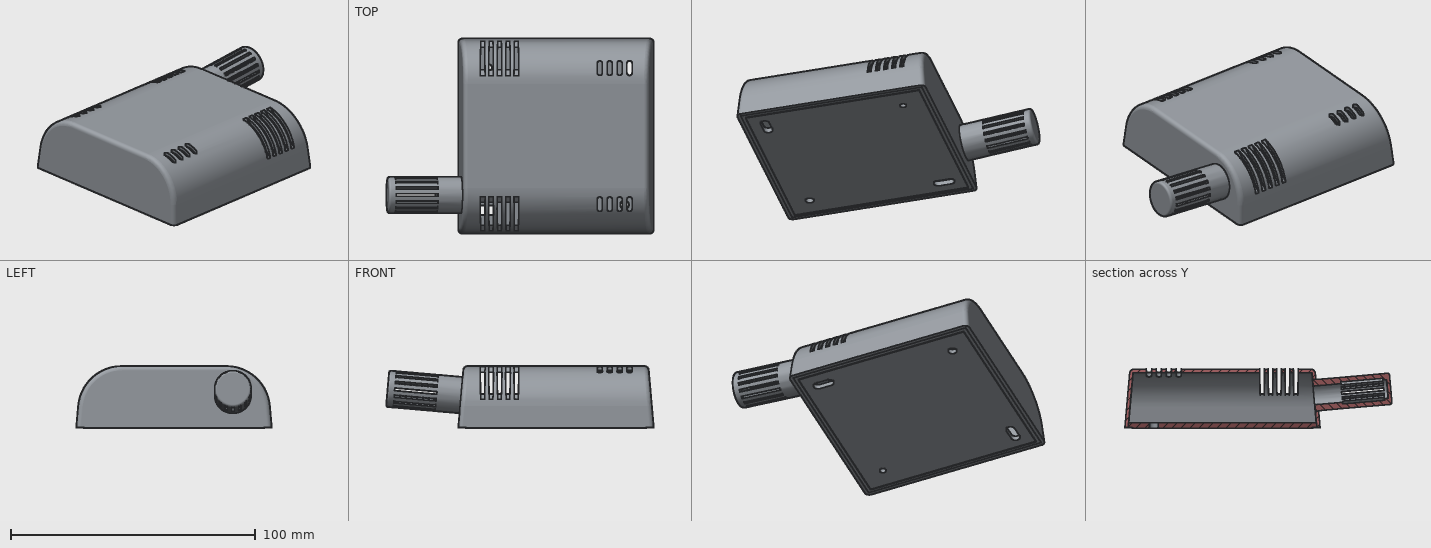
import cadquery as cq
import math

overall_length = 109.4
housing_width = 80.0
overall_height = 25.5
base_protrusion = 0.3

draft = math.radians(5)
shoulder_radius = 18.0
end_edge_radius = 2.0
wall = 1.5

saw_slot_count = 5
saw_slot_row_length = 13.8
saw_slot_row_x = -23.1
saw_slot_bottom_width = 1.5
saw_slot_top_width = 2.0
saw_slot_upper_angle = math.radians(11)
saw_slot_lower_angle = math.radians(76)

short_slot_count = 4
short_slot_pitch = 4.0
short_slot_row_x = 24.0
short_slot_y = 27.8
short_slot_length = 5.9
short_slot_width = 2.1

cap_diameter = 15.0
cap_bore = 10.5
cap_edge_radius = 1.0
cap_end_thickness = 1.5
cap_y = -24.1
cap_z = 13.6
cap_slot_count = 16
cap_slot_width = 1.0
cap_slot_start = 10.0
cap_slot_length = 17.2

base_thickness = 2.0
pad_width = 73.7
large_hole_diameter = 3.5
large_hole_x = 28.0
small_hole_diameter = 2.6
small_hole_x = -27.6
mount_hole_offset = 28.0
mount_slot_length = 8.8
mount_slot_width = 3.7
mount_slot_along = 28.4
mount_slot_across = 30.3

half_width = housing_width / 2
rim_z = base_protrusion
shoulder_z = overall_height - shoulder_radius
shoulder_y = (
    half_width
    - shoulder_radius * math.cos(draft)
    - (shoulder_z + shoulder_radius * math.sin(draft) - rim_z) * math.tan(draft)
)
cap_wall_x = -half_width + (cap_z - rim_z) * math.tan(draft)
cap_reach = (
    cap_wall_x
    + overall_length
    - half_width
    - (cap_diameter / 2 - cap_edge_radius) * math.sin(draft)
    - cap_edge_radius
)
cap_length = cap_reach / math.cos(draft) + cap_edge_radius


def shoulder_point(radius, angle):
    """Point (y, z) on the +Y shoulder arc, the angle being measured from vertical."""
    return shoulder_y + radius * math.sin(angle), shoulder_z + radius * math.cos(angle)


def drafted_block(inset):
    """The housing outline without its rounded end edges, moved inwards by the inset on all walls."""
    radius = shoulder_radius - inset
    rim_half = half_width - inset / math.cos(draft)
    roof_z = overall_height - inset
    roof_half = rim_half - (roof_z - rim_z) * math.tan(draft)
    side_angle = math.pi / 2 - draft
    side_y, side_z = shoulder_point(radius, side_angle)
    mid_y, mid_z = shoulder_point(radius, side_angle / 2)
    cross_section = (
        cq.Workplane("YZ")
        .moveTo(-rim_half, rim_z)
        .lineTo(-side_y, side_z)
        .threePointArc((-mid_y, mid_z), (-shoulder_y, roof_z))
        .lineTo(shoulder_y, roof_z)
        .threePointArc((mid_y, mid_z), (side_y, side_z))
        .lineTo(rim_half, rim_z)
        .close()
        .extrude(half_width, both=True)
    )
    long_section = (
        cq.Workplane("XZ")
        .polyline([(-rim_half, rim_z), (-roof_half, roof_z), (roof_half, roof_z), (rim_half, rim_z)])
        .close()
        .extrude(half_width, both=True)
    )
    return cross_section.intersect(long_section)


def saw_slots():
    """Slots on both shoulders, open outwards from a flat chord plane and wider at the top."""
    upper_y, upper_z = shoulder_point(shoulder_radius, saw_slot_upper_angle)
    lower_y, lower_z = shoulder_point(shoulder_radius, saw_slot_lower_angle)
    beyond_chord = (
        cq.Workplane("YZ")
        .polyline([(upper_y, upper_z), (lower_y, lower_z), (lower_y, upper_z)])
        .close()
        .extrude(half_width, both=True)
    )
    beyond_chord = beyond_chord.union(beyond_chord.mirror("XZ"))
    pitch = saw_slot_row_length / (saw_slot_count - 1)
    blades = cq.Workplane("XZ")
    for i in range(saw_slot_count):
        x = saw_slot_row_x - saw_slot_row_length / 2 + i * pitch
        blades = blades.polyline([
            (x - saw_slot_bottom_width / 2, lower_z),
            (x - saw_slot_top_width / 2, upper_z),
            (x + saw_slot_top_width / 2, upper_z),
            (x + saw_slot_bottom_width / 2, lower_z),
        ]).close()
    return blades.extrude(half_width, both=True).intersect(beyond_chord)


def short_slots():
    """Round-ended slots on both shoulders."""
    first_x = short_slot_row_x - (short_slot_count - 1) * short_slot_pitch / 2
    centres = [
        (first_x + i * short_slot_pitch, side * short_slot_y)
        for i in range(short_slot_count)
        for side in (-1, 1)
    ]
    return (
        cq.Workplane("XY", origin=(0, 0, shoulder_z))
        .pushPoints(centres)
        .slot2D(short_slot_length, short_slot_width, 90)
        .extrude(shoulder_radius)
    )


def cap_plane(distance):
    """Work plane square to the cap axis, facing outwards, at a distance outside the end wall."""
    axis = cq.Vector(-math.cos(draft), 0, math.sin(draft))
    origin = cq.Vector(cap_wall_x, cap_y, cap_z) + axis * distance
    return cq.Workplane(cq.Plane(origin=origin, xDir=(0, 1, 0), normal=axis))


def make_housing():
    """Hollow shell, open below, with vents and a hole in the end wall for the cap."""
    shell = drafted_block(0).faces("<X or >X").edges("not <Z").fillet(end_edge_radius)
    cap_hole = cap_plane(-wall).circle(cap_diameter / 2).extrude(2 * wall)
    return (
        shell.cut(drafted_block(wall))
        .cut(saw_slots())
        .cut(short_slots())
        .cut(cap_hole)
    )


def make_cap():
    """Tilted tube seated in the end wall, closed at its tip and slotted all round."""
    cap = (
        cap_plane(-wall)
        .circle(cap_diameter / 2)
        .extrude(cap_length + wall)
        .faces("<X")
        .edges()
        .fillet(cap_edge_radius)
    )
    bore = (
        cap_plane(-wall)
        .circle(cap_bore / 2)
        .extrude(cap_length + wall - cap_end_thickness)
    )
    cap = cap.cut(bore)
    for i in range(cap_slot_count // 2):
        opposite_slots = (
            cap_plane(cap_slot_start)
            .transformed(rotate=(0, 0, i * 360 / cap_slot_count))
            .rect(2 * cap_diameter, cap_slot_width)
            .extrude(cap_slot_length)
        )
        cap = cap.cut(opposite_slots)
    return cap


def make_base():
    """Plate filling the mouth of the housing, with a pad below and mounting holes right through."""
    height = base_protrusion + base_thickness
    mouth = cq.Workplane("XY").box(housing_width, housing_width, height, centered=(True, True, False))
    plate = drafted_block(wall).intersect(mouth)
    pad = cq.Workplane("XY").rect(pad_width, pad_width).extrude(base_protrusion)
    large_hole = (
        cq.Workplane("XY")
        .center(large_hole_x, -mount_hole_offset)
        .circle(large_hole_diameter / 2)
        .extrude(height)
    )
    small_hole = (
        cq.Workplane("XY")
        .center(small_hole_x, mount_hole_offset)
        .circle(small_hole_diameter / 2)
        .extrude(height)
    )
    slot_along_x = (
        cq.Workplane("XY")
        .center(-mount_slot_along, -mount_slot_across)
        .slot2D(mount_slot_length, mount_slot_width)
        .extrude(height)
    )
    slot_along_y = (
        cq.Workplane("XY")
        .center(mount_slot_across, mount_slot_along)
        .slot2D(mount_slot_length, mount_slot_width, 90)
        .extrude(height)
    )
    return (
        plate.union(pad)
        .cut(large_hole)
        .cut(small_hole)
        .cut(slot_along_x)
        .cut(slot_along_y)
    )


housing = make_housing()
cap = make_cap()
base = make_base()

result = cq.Compound.makeCompound([housing.val(), cap.val(), base.val()])